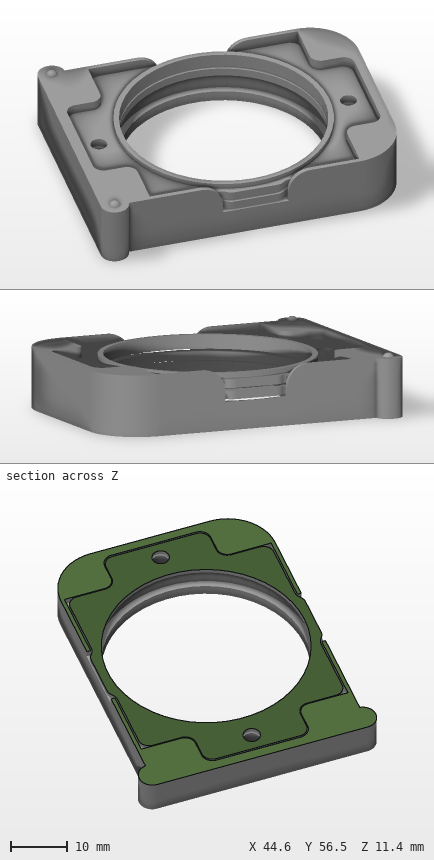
import cadquery as cq
import math


body_half_width = 20.2
length = 56.45
rear_y = 28.1
front_y = rear_y - length
rear_top = 11.0
front_top = 10.8
rear_corner_radius = 9.0

overall_width = 44.6
lug_depth = 5.1
lug_corner_radius = 2.5
dome_x = 19.85
dome_y = front_y + lug_depth / 2
dome_base_radius = 1.0
dome_top = 11.45

pocket_half_width = 19.4
pocket_half_depth = 19.25
pocket_tongue_half_width = 9.95
pocket_tongue_end = 26.35
pocket_floor = 5.1
corner_radius = 2.0

opening_diameter = 36.9
recess_diameter = 39.4
recess_floor = 2.0
screw_hole_diameter = 3.0
screw_hole_y = 22.9

notch_half_width = 6.05
notch_round_radius = 4.0

plate_half_width = 19.2
plate_half_depth = 19.2
plate_tongue_half_width = 9.9
plate_tongue_end = 26.15
plate_thickness = 1.5
lower_plate_bottom = 5.5
upper_plate_bottom = 7.5
tab_flat_half_width = 3.95
ring_outer_diameter = 38.9
ring_height = 1.0


def block(x_half, y_min, y_max, z_min, z_max):
    """Box centred on X between the given Y and Z limits."""
    return cq.Workplane("XY").box(
        2 * x_half, y_max - y_min, z_max - z_min, centered=False
    ).translate((-x_half, y_min, z_min))


def disc(diameter, z_min, z_max):
    """Cylinder on the optical axis."""
    return cq.Workplane("XY").workplane(offset=z_min).circle(diameter / 2).extrude(z_max - z_min)


def screw_holes(z_min, z_max):
    """Cutters for the two screw holes."""
    return (
        cq.Workplane("XY").workplane(offset=z_min)
        .pushPoints([(0, screw_hole_y), (0, -screw_hole_y)])
        .circle(screw_hole_diameter / 2)
        .extrude(z_max - z_min)
    )


def tongued_block(half_width, half_depth, tongue_half_width, tongue_end, z_min, z_max):
    """Rectangle with a rounded tongue at its front and rear, extruded between two heights."""
    wide = block(half_width, -half_depth, half_depth, z_min, z_max)
    tongues = block(tongue_half_width, -tongue_end, tongue_end, z_min, z_max)
    tongues = tongues.edges("|Z").fillet(corner_radius)
    margin = 0.55
    around_tongue_roots = cq.selectors.BoxSelector(
        (-tongue_half_width - margin, -half_depth - margin, z_min - margin),
        (tongue_half_width + margin, half_depth + margin, z_max + margin),
    )
    return wide.union(tongues).edges("|Z").edges(around_tongue_roots).fillet(corner_radius)


def notch_half(top):
    """Cutter for one half of the side notches, at Y > 0, flaring out to a wall of this height."""
    arc_start = top - notch_round_radius
    diagonal = notch_round_radius * math.sqrt(0.5)
    flare_end = notch_half_width + notch_round_radius
    clearance = 0.55
    return (
        cq.Workplane("YZ").moveTo(0, pocket_floor)
        .lineTo(notch_half_width, pocket_floor)
        .lineTo(notch_half_width, arc_start)
        .threePointArc((flare_end - diagonal, arc_start + diagonal), (flare_end, top))
        .lineTo(flare_end, rear_top + clearance)
        .lineTo(0, rear_top + clearance)
        .close()
        .extrude(body_half_width + clearance, both=True)
    )


def dome():
    """Spherical cap whose base lies on the front top face, centred on the Z axis."""
    height = dome_top - front_top
    sphere_radius = (dome_base_radius**2 + height**2) / (2 * height)
    cap = cq.Workplane("XY").sphere(sphere_radius).translate((0, 0, dome_top - sphere_radius))
    return cap.intersect(block(sphere_radius, -sphere_radius, sphere_radius, front_top, dome_top))


def make_housing():
    """Housing with lugs, domes, plate pocket, stepped light opening and side notches."""
    rear = block(body_half_width, 0, rear_y, 0, rear_top)
    rear = rear.edges("|Z and >Y").fillet(rear_corner_radius)
    front = block(body_half_width, front_y + lug_corner_radius, 0, 0, front_top)
    lug_bar = block(overall_width / 2, front_y, front_y + lug_depth, 0, front_top)
    lug_bar = lug_bar.edges("|Z").fillet(lug_corner_radius)
    housing = rear.union(front).union(lug_bar)
    for side in (-1, 1):
        housing = housing.union(dome().translate((side * dome_x, dome_y, 0)))

    pocket = tongued_block(
        pocket_half_width, pocket_half_depth, pocket_tongue_half_width, pocket_tongue_end,
        pocket_floor, rear_top,
    )
    housing = housing.cut(pocket)
    housing = housing.cut(disc(opening_diameter, 0, pocket_floor))
    housing = housing.cut(disc(recess_diameter, recess_floor, pocket_floor))
    housing = housing.cut(screw_holes(0, pocket_floor))
    return housing.cut(notch_half(rear_top)).cut(notch_half(front_top).mirror("XZ"))


def side_tabs(z_min, z_max):
    """Bar across the plate whose ends are tabs that run into the plate sides in S-curves."""
    half_step = (body_half_width - plate_half_width) / 2
    sweep = math.acos(1 - half_step / corner_radius)
    run = corner_radius * math.sin(sweep)
    bend_y = tab_flat_half_width + run
    root_y = bend_y + run
    bend_x = plate_half_width + half_step
    mid_run = corner_radius * math.sin(sweep / 2)
    mid_drop = corner_radius * (1 - math.cos(sweep / 2))
    tab = (
        cq.Workplane("XY").workplane(offset=z_min)
        .moveTo(0, -root_y)
        .lineTo(plate_half_width, -root_y)
        .threePointArc((plate_half_width + mid_drop, -root_y + mid_run), (bend_x, -bend_y))
        .threePointArc(
            (body_half_width - mid_drop, -tab_flat_half_width - mid_run),
            (body_half_width, -tab_flat_half_width),
        )
        .lineTo(body_half_width, tab_flat_half_width)
        .threePointArc(
            (body_half_width - mid_drop, tab_flat_half_width + mid_run), (bend_x, bend_y)
        )
        .threePointArc((plate_half_width + mid_drop, root_y - mid_run), (plate_half_width, root_y))
        .lineTo(0, root_y)
        .close()
        .extrude(z_max - z_min)
    )
    return tab.union(tab.mirror("YZ"))


def make_plate(bottom):
    """Flat plate with tongues, side tabs, light opening and screw holes."""
    top = bottom + plate_thickness
    plate = tongued_block(
        plate_half_width, plate_half_depth, plate_tongue_half_width, plate_tongue_end, bottom, top
    )
    plate = plate.edges("|Z and (<X or >X)").fillet(corner_radius)
    plate = plate.union(side_tabs(bottom, top))
    return plate.cut(disc(opening_diameter, bottom, top)).cut(screw_holes(bottom, top))


def make_ringed_plate(bottom):
    """Plate with a raised ring around its light opening."""
    top = bottom + plate_thickness
    ring = disc(ring_outer_diameter, top, top + ring_height)
    return make_plate(bottom).union(ring.cut(disc(opening_diameter, top, top + ring_height)))


housing = make_housing()
lower_plate = make_plate(lower_plate_bottom)
upper_plate = make_ringed_plate(upper_plate_bottom)

result = cq.Compound.makeCompound(
    [housing.solids().val(), lower_plate.solids().val(), upper_plate.solids().val()]
)